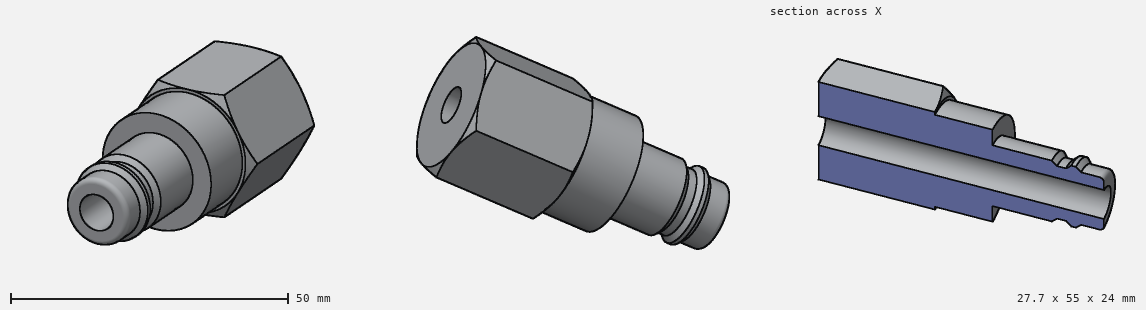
import cadquery as cq
import math

total_length = 55.0

across_flats = 24.0
across_corners = across_flats / math.cos(math.radians(30))
hex_length = 22.45
hex_chamfer_angle = 30.0

collar_diameter = 22.65
collar_length = 11.1
stem_diameter = 15.0
tip_diameter = 13.0
tip_length = 4.4
tip_round = 1.0

rib_width = 0.9
groove_width = 1.7
flank = (stem_diameter - tip_diameter) / 2

bore_diameter = 7.0

hex_start = total_length - hex_length
collar_start = hex_start - collar_length
rib_start = tip_length + flank
rib_end = rib_start + rib_width
groove_start = rib_end + flank
groove_end = groove_start + groove_width


def revolve_about_y(profile):
    return profile.close().revolve(360, (0, 0, 0), (0, 1, 0))


def make_hex_body():
    """Hexagon with corners on X, cut back by a cone at both ends."""
    prism = (
        cq.Workplane("XZ", origin=(0, total_length, 0))
        .polygon(6, across_corners)
        .extrude(hex_length)
    )
    face_radius = across_flats / 2
    corner_radius = across_corners / 2
    corner_drop = (corner_radius - face_radius) * math.tan(math.radians(hex_chamfer_angle))
    envelope = revolve_about_y(
        cq.Workplane("XY")
        .moveTo(0, hex_start)
        .lineTo(face_radius, hex_start)
        .lineTo(corner_radius, hex_start + corner_drop)
        .lineTo(corner_radius, total_length - corner_drop)
        .lineTo(face_radius, total_length)
        .lineTo(0, total_length)
    )
    return prism.intersect(envelope)


def make_plug():
    """Turned collar, stem, groove, rib and rounded tip."""
    tip_radius = tip_diameter / 2
    stem_radius = stem_diameter / 2
    collar_radius = collar_diameter / 2
    return revolve_about_y(
        cq.Workplane("XY")
        .lineTo(tip_radius - tip_round, 0)
        .radiusArc((tip_radius, tip_round), -tip_round)
        .lineTo(tip_radius, tip_length)
        .lineTo(stem_radius, rib_start)
        .lineTo(stem_radius, rib_end)
        .lineTo(tip_radius, groove_start)
        .lineTo(tip_radius, groove_end)
        .lineTo(stem_radius, groove_end + flank)
        .lineTo(stem_radius, collar_start)
        .lineTo(collar_radius, collar_start)
        .lineTo(collar_radius, hex_start)
        .lineTo(0, hex_start)
    )


def make_bore():
    return (
        cq.Workplane("XZ", origin=(0, total_length, 0))
        .circle(bore_diameter / 2)
        .extrude(total_length)
    )


result = make_hex_body().union(make_plug()).cut(make_bore())